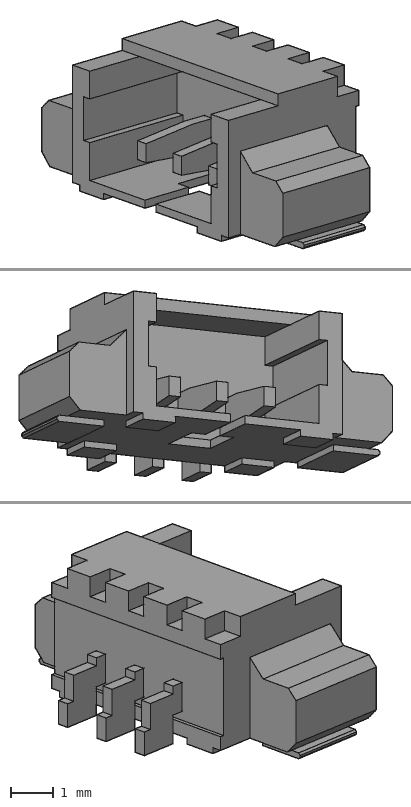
import cadquery as cq


SIDES = (-1, 1)

overall_width = 8.5
housing_width = 5.5
housing_depth = 4.2
housing_top = 3.4
standoff = 0.15
roof_front = 1.6
side_wall_top = 3.1

cavity_width = 4.275
cavity_depth = 3.0
cavity_floor = 0.36
key_width = 4.7
key_bottom = 1.31
key_top = 2.405

slot_width = 0.38
slot_depth = 1.4
window_width = 1.105
window_length = 1.275

notch_depth = 0.69
notch_floor = 2.89
pin_notch_width = 0.49
corner_notch_width = 0.51
recess_depth = 0.1
recess_bottom = 0.51
recess_top = 2.51

wing_front = 0.38
wing_length = 2.8
wing_top = 1.81
wing_gusset = 0.43
wing_top_chamfer = 0.25
wing_bottom_chamfer_width = 0.28
wing_bottom_chamfer_height = 0.31

foot_center = 2.07
foot_width = 0.85
foot_length = 0.95

pin_pitch = 1.25
pin_width = 0.3
pin_bottom = 0.74
pin_top = 1.49
tip_y = 0.87
tip_bottom = 0.87
tip_top = 1.34
taper_end_y = 2.355
leg_front_y = 4.4
shoulder_top = 1.28
shoulder_back_y = 5.19
toe_top = 0.61
toe_back_y = 5.41
pin_positions = [index * pin_pitch for index in (-1, 0, 1)]

tab_front = 1.07
tab_length = 1.96
tab_width = 1.23
tab_chamfer = 0.05


def block(width, depth, height, x=0.0, y=0.0, z=0.0):
    """Box centred on x, starting at y and z."""
    return cq.Workplane("XY").box(width, depth, height, centered=(True, False, False)).translate((x, y, z))


def make_shell():
    shell = block(housing_width, housing_depth, housing_top - standoff, z=standoff)
    front_step = block(housing_width, roof_front, housing_top - side_wall_top, z=side_wall_top)
    return shell.cut(front_step)


def make_wing(side):
    wall = side * housing_width / 2
    end = side * overall_width / 2
    outline = [
        (wall, standoff),
        (end - side * wing_bottom_chamfer_width, standoff),
        (end, standoff + wing_bottom_chamfer_height),
        (end, wing_top - wing_top_chamfer),
        (end - side * wing_top_chamfer, wing_top),
        (wall + side * wing_gusset, wing_top),
        (wall, wing_top + wing_gusset),
    ]
    wing = cq.Workplane("XZ").polyline(outline).close().extrude(-wing_length)
    return wing.translate((0, wing_front, 0))


def make_foot(side, y):
    return block(foot_width, foot_length, standoff, x=side * foot_center, y=y)


def make_cavity():
    cavity = block(cavity_width, cavity_depth, side_wall_top - cavity_floor, z=cavity_floor)
    key_grooves = block(key_width, cavity_depth, key_top - key_bottom, z=key_bottom)
    return cavity.union(key_grooves)


def make_floor_opening():
    floor_thickness = cavity_floor - standoff
    slot = block(slot_width, slot_depth, floor_thickness, z=standoff)
    window = block(window_width, window_length, floor_thickness, y=slot_depth, z=standoff)
    return slot.union(window)


def make_rear_notch(width, x):
    return block(width, notch_depth, housing_top - notch_floor, x=x, y=housing_depth - notch_depth, z=notch_floor)


def make_rear_recess():
    return block(
        housing_width, recess_depth, recess_top - recess_bottom, y=housing_depth - recess_depth, z=recess_bottom
    )


def make_pin_hole(x):
    return block(pin_width, housing_depth - cavity_depth, pin_top - pin_bottom, x=x, y=cavity_depth, z=pin_bottom)


def make_housing():
    housing = make_shell()
    for side in SIDES:
        housing = housing.union(make_wing(side))
        for foot_y in (0.0, housing_depth - foot_length):
            housing = housing.union(make_foot(side, foot_y))

    housing = housing.cut(make_cavity()).cut(make_floor_opening()).cut(make_rear_recess())
    for x in pin_positions:
        housing = housing.cut(make_rear_notch(pin_notch_width, x)).cut(make_pin_hole(x))
    for side in SIDES:
        corner_x = side * (housing_width - corner_notch_width) / 2
        housing = housing.cut(make_rear_notch(corner_notch_width, corner_x))
    return housing


def make_pin(x):
    """Pin with a tapered contact tip, a straight shank through the rear wall and a stepped leg."""
    outline = [
        (tip_y, tip_bottom),
        (taper_end_y, pin_bottom),
        (leg_front_y, pin_bottom),
        (leg_front_y, 0),
        (toe_back_y, 0),
        (toe_back_y, toe_top),
        (shoulder_back_y, toe_top),
        (shoulder_back_y, shoulder_top),
        (leg_front_y, shoulder_top),
        (leg_front_y, pin_top),
        (taper_end_y, pin_top),
        (tip_y, tip_top),
    ]
    pin = cq.Workplane("YZ").polyline(outline).close().extrude(pin_width / 2, both=True)
    return pin.translate((x, 0, 0))


def make_solder_tab(side):
    """Flat tab under a wing, with its outer end chamfered above and below."""
    center_x = side * (overall_width - tab_width) / 2
    tab = block(tab_width, tab_length, standoff, x=center_x, y=tab_front)
    outer_face = ">X" if side > 0 else "<X"
    return tab.faces(outer_face).edges("|Y").chamfer(tab_chamfer)


housing = make_housing()
pins = [make_pin(x).val() for x in pin_positions]
solder_tabs = [make_solder_tab(side).val() for side in SIDES]

result = cq.Compound.makeCompound([housing.val(), *pins, *solder_tabs])